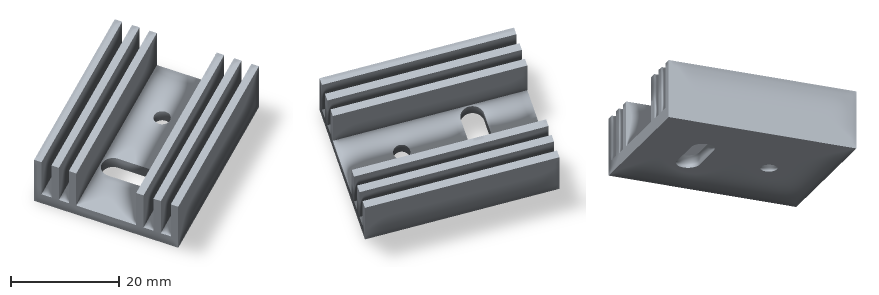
import cadquery as cq

width = 29.0
length = 37.5
height = 11.5
base_thickness = 2.5

fin_thickness = 1.5
fin_pitch = 3.5
fins_per_side = 3

hole_diameter = 3.2
hole_y = 7.28
slot_length = 11.5
slot_width = 4.5
slot_y = -7.42


def make_base():
    base = cq.Workplane("XY").box(width, length, base_thickness, centered=(True, True, False))
    base = base.faces(">Z").workplane(origin=(0, hole_y, 0)).hole(hole_diameter)
    slot = (
        cq.Workplane("XY")
        .center(0, slot_y)
        .slot2D(slot_length, slot_width)
        .extrude(base_thickness)
    )
    return base.cut(slot)


def make_fins():
    outer_fin_x = (width - fin_thickness) / 2
    offsets = [outer_fin_x - index * fin_pitch for index in range(fins_per_side)]
    centres = [(side * offset, 0) for side in (-1, 1) for offset in offsets]
    return (
        cq.Workplane("XY")
        .workplane(offset=base_thickness)
        .pushPoints(centres)
        .rect(fin_thickness, length)
        .extrude(height - base_thickness)
    )


result = make_base().union(make_fins())